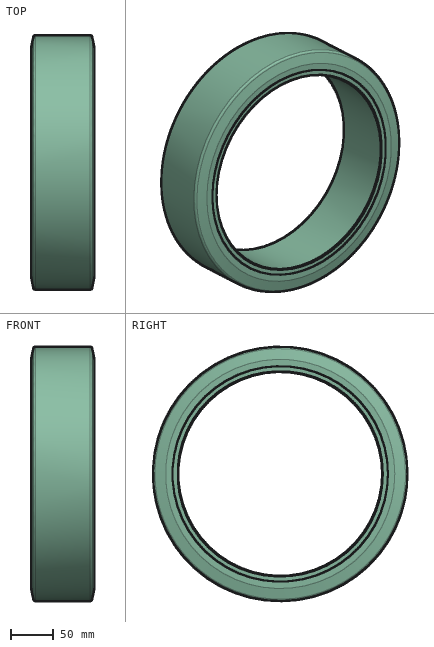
import cadquery as cq
import math

width = 75.0
outer_radius = 150.0
bore_radius = 120.0

joint_radius = 127.0

face_radius = 135.0
taper_angle = 12.0
shoulder_fillet = 3.0

bore_chamfer = 1.0

taper_depth = (outer_radius - face_radius) * math.tan(math.radians(taper_angle))
half_width = width / 2


def make_outer_ring():
    """Ring with a tapered shoulder at each end, blended into its rim."""
    rim_half_width = half_width - taper_depth
    profile = [
        (-half_width, joint_radius),
        (-half_width, face_radius),
        (-rim_half_width, outer_radius),
        (rim_half_width, outer_radius),
        (half_width, face_radius),
        (half_width, joint_radius),
    ]
    ring = cq.Workplane("XY").polyline(profile).close().revolve(360, (0, 0, 0), (1, 0, 0))
    rim_edges = cq.selectors.RadiusNthSelector(-1)
    return ring.edges("%CIRCLE").edges(rim_edges).fillet(shoulder_fillet)


def make_inner_sleeve():
    """Plain sleeve filling the outer ring, with both bore edges bevelled."""
    sleeve = (
        cq.Workplane("YZ", origin=(-half_width, 0, 0))
        .circle(joint_radius)
        .circle(bore_radius)
        .extrude(width)
    )
    bore_edges = cq.selectors.RadiusNthSelector(0)
    return sleeve.edges("%CIRCLE").edges(bore_edges).chamfer(bore_chamfer)


outer_ring = make_outer_ring()
inner_sleeve = make_inner_sleeve()

result = cq.Compound.makeCompound([outer_ring.val(), inner_sleeve.val()])